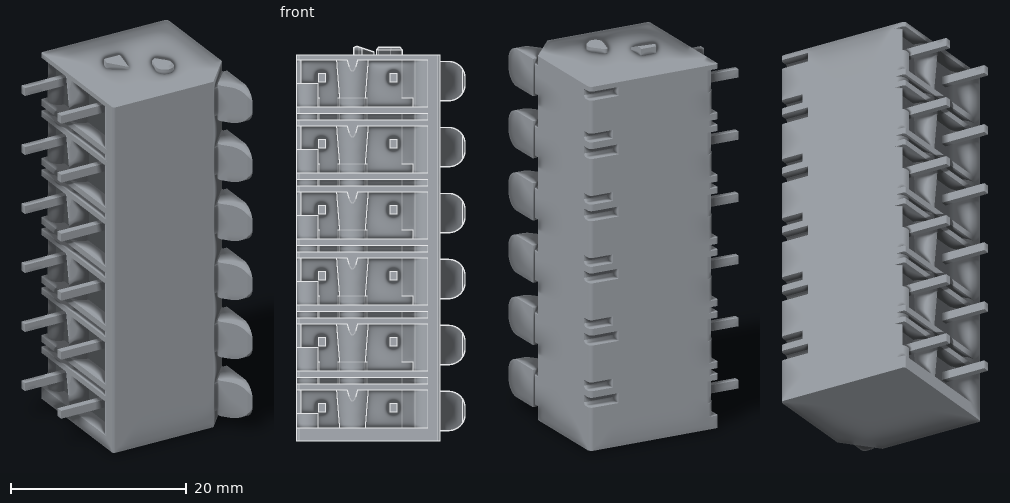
import cadquery as cq
import math


BODY_X = 16.35
BODY_Y = 16.7
BODY_Z = 43.9
CORNER_CUT_X = 4.1
CORNER_CUT_Y = 3.5
FRONT_EDGE_RADIUS = 0.3
BACK_EDGE_RADIUS = 0.5

POLES = 6
PITCH = 7.5

CELL_DEPTH = 1.7
CELL_TOP_DROP = 0.58
CELL_STEP_DROP = 4.88
CELL_BOTTOM_DROP = 5.93
CELL_RIGHT = 14.9
SWEEP_WIDTH = 2.86
LOW_CELL_RIGHT = 13.25
GAP_TOP_DROP = 6.68
GAP_BOTTOM_DROP = 7.4
CUT_OVERRUN = 1.0

POST_X = 6.38
POST_RADIUS = 1.46
POST_TOP_RADIUS = 1.8
BASE_FILLET = 0.19
BUMP_X = 1.2
BUMP_RADIUS = 1.31
BUMP_RIGHT = 2.46
BUMP_TOP_DROP = 3.24
RIM_RADIUS = 1.24
RIM_WIDTH = 0.52

PIN_LENGTH = 4.0
PIN_WIDTH = 0.8
PIN_HEIGHT = 1.0
PIN_DROP = 2.6
PIN_X_POSITIONS = (2.9, 11.06)

LEVER_TIP_X = 19.2
LEVER_HEIGHT = 4.5
LEVER_TOP_DROP = 0.72
LEVER_CORNER_RADIUS = 1.9
LEVER_INNER_OUTLINE = (
    (13.4, BODY_Y),
    (13.4, 16.2),
    (15.85, 14.05),
)
LEVER_HEEL = (16.3, 14.05)
LEVER_NOSE = (18.9, 16.2)
STEM_END_X = 15.8
STEM_GAP = 0.6
STEM_HEIGHT = 3.5

SLOT_DEPTH = 1.4
SLOT_TOP_BEVEL = 0.15
SLOT_BOTTOM_BEVEL = 0.3
LONG_SLOT_LENGTH = 3.75
LONG_SLOT_HEIGHT = 1.2
FIRST_SLOT_HEIGHT = 1.08
SHORT_SLOT_LENGTH = 3.0
SHORT_SLOT_HEIGHT = 1.05
SHORT_SLOT_DROP = 5.65

DROP_X = 11.0
DROP_Y = 9.9
DROP_RADIUS = 1.05
DROP_TIP_X = 9.4
DROP_TIP_Y = 9.55
DROP_TIP_RADIUS = 0.3
DROP_HEIGHT = 0.9
DROP_CHAMFER = 0.32
DROP_INSET = 0.25
WEDGE_LEFT = 6.53
WEDGE_RIGHT = 8.85
WEDGE_RIDGE_X = 6.88
WEDGE_NOSE_LEFT = 7.15
WEDGE_NOSE_RIGHT = 7.45
WEDGE_BACK_Y = 6.45
WEDGE_SIDE_Y = 4.5
WEDGE_FRONT_Y = 4.35
WEDGE_LEFT_HEIGHT = 0.85
WEDGE_HEIGHT = 1.0
WEDGE_RIGHT_HEIGHT = 0.35


def box(x_range, y_range, z_range):
    """Box between two limits along each axis."""
    size = [high - low for low, high in (x_range, y_range, z_range)]
    return cq.Workplane("XY").box(*size, centered=False).translate((x_range[0], y_range[0], z_range[0]))


def prism(outline, bottom, top):
    """Closed XY outline extruded between two heights."""
    return outline.extrude(top - bottom).translate((0, 0, bottom))


def make_body():
    body = (
        cq.Workplane("XY")
        .moveTo(0, 0)
        .lineTo(BODY_X, 0)
        .lineTo(BODY_X, BODY_Y - CORNER_CUT_Y)
        .lineTo(BODY_X - CORNER_CUT_X, BODY_Y)
        .lineTo(0, BODY_Y)
        .close()
        .extrude(BODY_Z)
    )
    body = body.edges("|Z and <Y").fillet(FRONT_EDGE_RADIUS)
    return body.edges("|Z and <X and >Y").fillet(BACK_EDGE_RADIUS)


def cell_outline():
    """Cell section: open to the left and front, closed on the right by an S-shaped sweep."""
    turn = 2 * math.atan(CELL_DEPTH / SWEEP_WIDTH)
    radius = SWEEP_WIDTH / (2 * math.sin(turn))
    half_turn = turn / 2
    floor_end = CELL_RIGHT - SWEEP_WIDTH
    middle = (CELL_RIGHT - SWEEP_WIDTH / 2, CELL_DEPTH / 2)
    arc_x = radius * math.sin(half_turn)
    arc_y = radius * (1 - math.cos(half_turn))
    return (
        cq.Workplane("XY")
        .moveTo(-CUT_OVERRUN, -CUT_OVERRUN)
        .lineTo(-CUT_OVERRUN, CELL_DEPTH)
        .lineTo(floor_end, CELL_DEPTH)
        .threePointArc((floor_end + arc_x, CELL_DEPTH - arc_y), middle)
        .threePointArc((CELL_RIGHT - arc_x, arc_y), (CELL_RIGHT, 0))
        .lineTo(CELL_RIGHT, -CUT_OVERRUN)
        .close()
    )


def half_round(x, radius, bottom, top):
    """Half cylinder whose axis lies in the cell floor."""
    cylinder = prism(cq.Workplane("XY").center(x, CELL_DEPTH).circle(radius), bottom, top)
    front_half = box((0, BODY_X), (0, CELL_DEPTH), (bottom, top))
    return cylinder.intersect(front_half)


def base_fillet(x, radius, side, bottom, top):
    """Concave strip joining a half cylinder to the cell floor on one side."""
    reach = radius + BASE_FILLET
    rise = math.sqrt(reach**2 - BASE_FILLET**2)
    foot = (x + side * rise, CELL_DEPTH)
    touch = (
        x + side * rise * radius / reach,
        CELL_DEPTH - BASE_FILLET * radius / reach,
    )
    center = (foot[0], CELL_DEPTH - BASE_FILLET)
    mid_angle = (math.pi / 2 + math.atan2(touch[1] - center[1], (center[0] - touch[0]) * side)) / 2
    bulge = (
        center[0] - side * BASE_FILLET * math.cos(mid_angle),
        center[1] + BASE_FILLET * math.sin(mid_angle),
    )
    strip = (
        cq.Workplane("XY")
        .moveTo(x, CELL_DEPTH)
        .lineTo(*foot)
        .threePointArc(bulge, touch)
        .close()
    )
    return prism(strip, bottom, top)


def make_bump(bottom, top):
    """Half-round bump at the open side of a cell, cut straight on its right."""
    bump = half_round(BUMP_X, BUMP_RADIUS, bottom, top)
    return bump.intersect(box((0, BUMP_RIGHT), (0, CELL_DEPTH), (bottom, top)))


def flared_post(bottom, top):
    """Half cone that widens upward; its top pokes out and is trimmed flush with the front face."""
    cone = cq.Solid.makeCone(
        POST_RADIUS,
        POST_TOP_RADIUS,
        top - bottom,
        pnt=cq.Vector(POST_X, CELL_DEPTH, bottom),
        dir=cq.Vector(0, 0, 1),
    )
    front_half = box((0, BODY_X), (0, CELL_DEPTH), (bottom, top))
    return cq.Workplane("XY").add(cone).intersect(front_half)


def lower_post_and_bump(bottom, top):
    """Straight post and bump with rounded bases, as found low in a cell and in the gaps."""
    post = half_round(POST_X, POST_RADIUS, bottom, top)
    post = post.union(base_fillet(POST_X, POST_RADIUS, -1, bottom, top))
    post = post.union(base_fillet(POST_X, POST_RADIUS, 1, bottom, top))
    fillet = base_fillet(BUMP_X, BUMP_RIGHT - BUMP_X, 1, bottom, top)
    return post.union(make_bump(bottom, top)).union(fillet)


def make_cell(cell_top):
    """Main part of a cell, from its ceiling to the step."""
    top = cell_top - CELL_TOP_DROP
    step = cell_top - CELL_STEP_DROP
    bump_top = cell_top - BUMP_TOP_DROP
    rim = half_round(BUMP_X, RIM_RADIUS, bump_top, top)
    rim = rim.intersect(box((0, RIM_WIDTH), (0, CELL_DEPTH), (bump_top, top)))
    bump = make_bump(step, bump_top)
    return prism(cell_outline(), step, top).cut(flared_post(step, top)).cut(bump).cut(rim)


def make_lower_cell(cell_top):
    """Squared-off part of a cell below the step, plus the gap under it."""
    step = cell_top - CELL_STEP_DROP
    bottom = cell_top - CELL_BOTTOM_DROP
    gap_top = cell_top - GAP_TOP_DROP
    gap_bottom = cell_top - GAP_BOTTOM_DROP
    lower = prism(cell_outline(), bottom, step)
    lower = lower.union(box((BUMP_X, LOW_CELL_RIGHT), (0, CELL_DEPTH), (bottom, step)))
    lower = lower.cut(lower_post_and_bump(bottom, step))
    gap = prism(cell_outline(), gap_bottom, gap_top)
    return lower.union(gap.cut(lower_post_and_bump(gap_bottom, gap_top)))


def make_slot(top, height, length):
    """Slot in the left side, beveled where its walls meet its floor."""
    profile = (
        cq.Workplane("XZ")
        .moveTo(0, top)
        .lineTo(SLOT_DEPTH - SLOT_TOP_BEVEL, top)
        .lineTo(SLOT_DEPTH, top - SLOT_TOP_BEVEL)
        .lineTo(SLOT_DEPTH, top - height + SLOT_BOTTOM_BEVEL)
        .lineTo(SLOT_DEPTH - SLOT_BOTTOM_BEVEL, top - height)
        .lineTo(0, top - height)
        .close()
    )
    return profile.extrude(length).translate((0, BODY_Y, 0))


def make_pin(x, cell_top):
    middle = cell_top - PIN_DROP
    return box(
        (x - PIN_WIDTH / 2, x + PIN_WIDTH / 2),
        (-PIN_LENGTH, CELL_DEPTH),
        (middle - PIN_HEIGHT / 2, middle + PIN_HEIGHT / 2),
    )


def make_lever(cell_top):
    """Lever with rounded tip corners, held to the cut corner of the body by a narrower stem."""
    top = cell_top - LEVER_TOP_DROP
    bottom = top - LEVER_HEIGHT
    middle = (top + bottom) / 2
    outline = (
        cq.Workplane("XY")
        .polyline(LEVER_INNER_OUTLINE)
        .lineTo(*LEVER_HEEL)
        .lineTo(*LEVER_NOSE)
        .lineTo(LEVER_TIP_X, BODY_Y)
        .close()
    )
    lever = prism(outline, bottom, top)
    rounded = box((BODY_X - CORNER_CUT_X, LEVER_TIP_X), (0, BODY_Y), (bottom, top))
    rounded = rounded.edges("|Y and >X").fillet(LEVER_CORNER_RADIUS)

    slope = CORNER_CUT_Y / CORNER_CUT_X
    cut_left = BODY_X - CORNER_CUT_X
    stem_end_y = BODY_Y - slope * (STEM_END_X - cut_left)
    stem = (
        cq.Workplane("XY")
        .moveTo(cut_left, BODY_Y)
        .lineTo(STEM_END_X, stem_end_y)
        .lineTo(STEM_END_X, stem_end_y + STEM_GAP)
        .lineTo(cut_left + STEM_GAP / slope, BODY_Y)
        .close()
    )
    stem = prism(stem, middle - STEM_HEIGHT / 2, middle + STEM_HEIGHT / 2)
    return lever.intersect(rounded).union(stem)


def make_drop_mark():
    """Teardrop boss with a chamfered rim."""
    reach = math.hypot(DROP_X - DROP_TIP_X, DROP_Y - DROP_TIP_Y)
    heading = math.atan2(DROP_TIP_Y - DROP_Y, DROP_TIP_X - DROP_X)
    tangent = math.acos((DROP_RADIUS - DROP_TIP_RADIUS) / reach)

    def on_circle(x, y, radius, angle):
        return (x + radius * math.cos(angle), y + radius * math.sin(angle))

    big = (DROP_X, DROP_Y, DROP_RADIUS)
    tip = (DROP_TIP_X, DROP_TIP_Y, DROP_TIP_RADIUS)
    outline = (
        cq.Workplane("XY")
        .moveTo(*on_circle(*big, heading + tangent))
        .threePointArc(on_circle(*big, heading + math.pi), on_circle(*big, heading - tangent))
        .lineTo(*on_circle(*tip, heading - tangent))
        .threePointArc(on_circle(*tip, heading), on_circle(*tip, heading + tangent))
        .close()
    )
    mark = outline.extrude(DROP_HEIGHT).faces(">Z").chamfer(DROP_CHAMFER, DROP_INSET)
    return mark.translate((0, 0, BODY_Z))


def make_wedge_mark():
    """Wedge boss that slopes down to the right."""
    plan = (
        cq.Workplane("XY")
        .moveTo(WEDGE_LEFT, WEDGE_BACK_Y)
        .lineTo(WEDGE_RIGHT, WEDGE_BACK_Y)
        .lineTo(WEDGE_NOSE_RIGHT, WEDGE_FRONT_Y)
        .lineTo(WEDGE_NOSE_LEFT, WEDGE_FRONT_Y)
        .lineTo(WEDGE_LEFT, WEDGE_SIDE_Y)
        .close()
        .extrude(WEDGE_HEIGHT)
    )
    side = (
        cq.Workplane("XZ")
        .moveTo(WEDGE_LEFT, 0)
        .lineTo(WEDGE_LEFT, WEDGE_LEFT_HEIGHT)
        .lineTo(WEDGE_RIDGE_X, WEDGE_HEIGHT)
        .lineTo(WEDGE_RIGHT, WEDGE_RIGHT_HEIGHT)
        .lineTo(WEDGE_RIGHT, 0)
        .close()
        .extrude(-BODY_Y)
    )
    return plan.intersect(side).translate((0, 0, BODY_Z))


result = make_body()
for pole in range(POLES):
    pole_top = BODY_Z - pole * PITCH
    is_first = pole == 0
    is_last = pole == POLES - 1

    result = result.cut(make_cell(pole_top))
    if is_first:
        result = result.cut(make_slot(pole_top - CELL_TOP_DROP, FIRST_SLOT_HEIGHT, LONG_SLOT_LENGTH))
    else:
        result = result.cut(make_slot(pole_top, LONG_SLOT_HEIGHT, LONG_SLOT_LENGTH))
    if not is_last:
        result = result.cut(make_lower_cell(pole_top))
        result = result.cut(make_slot(pole_top - SHORT_SLOT_DROP, SHORT_SLOT_HEIGHT, SHORT_SLOT_LENGTH))

    for pin_x in PIN_X_POSITIONS:
        result = result.union(make_pin(pin_x, pole_top))
    result = result.union(make_lever(pole_top))

result = result.union(make_drop_mark()).union(make_wedge_mark())